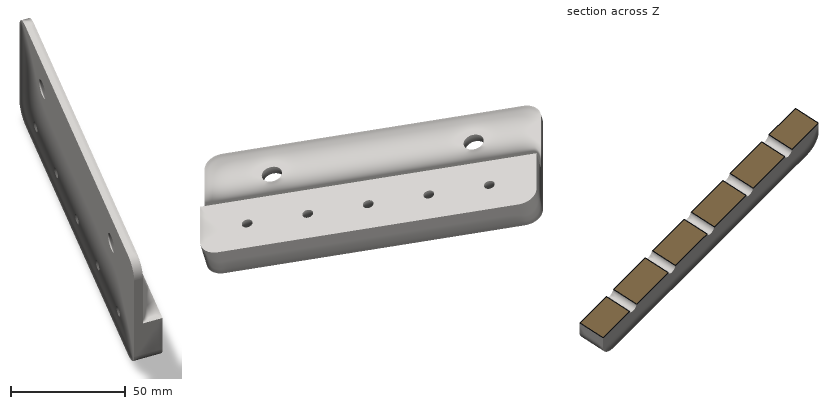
import cadquery as cq

length = 150.0
depth = 13.0
height = 70.0
plate_thickness = 4.0
block_height = 30.0
corner_radius = 8.0

mount_diameter = 9.0
mount_spacing = 90.0
mount_height = 52.5

row_diameter = 4.8
row_pitch = 27.0
row_count = 5
row_height = 15.0


def drill(body, diameter, x, z):
    """Cut a hole along Y through the full depth."""
    drill_bit = cq.Workplane("XZ").center(x, z).circle(diameter / 2).extrude(-depth)
    return body.cut(drill_bit)


plate = cq.Workplane("XY").box(length, plate_thickness, height, centered=(True, False, False))
block = cq.Workplane("XY").box(length, depth, block_height, centered=(True, False, False))
body = plate.union(block)

body = body.edges("|Y and (<Z or >Z)").fillet(corner_radius)

for side in (-1, 1):
    body = drill(body, mount_diameter, side * mount_spacing / 2, mount_height)

for index in range(row_count):
    offset = (index - (row_count - 1) / 2) * row_pitch
    body = drill(body, row_diameter, offset, row_height)

result = body